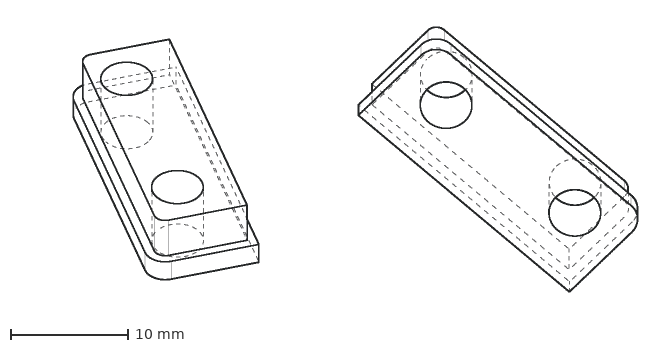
import cadquery as cq

length = 24.6
width = 9.6
flange_height = 2.0
flange_corner_radius = 1.8

total_height = 5.9
inset = 0.8

hole_diameter = 4.4
hole_spacing = 15.0
hole_from_front = 3.8


def rounded_front_plate(plate_length, plate_width, height, corner_radius):
    """Plate centred on X and Y, with only its two front (-Y) corners rounded."""
    plate = cq.Workplane("XY").box(plate_length, plate_width, height, centered=(True, True, False))
    return plate.edges("|Z and <Y").fillet(corner_radius)


flange = rounded_front_plate(length, width, flange_height, flange_corner_radius)

block = rounded_front_plate(
    length - 2 * inset,
    width - 2 * inset,
    total_height,
    flange_corner_radius - inset,
)

hole_y = hole_from_front - width / 2
holes = (
    cq.Workplane("XY")
    .pushPoints([(side * hole_spacing / 2, hole_y) for side in (-1, 1)])
    .circle(hole_diameter / 2)
    .extrude(total_height)
)

result = flange.union(block).cut(holes)